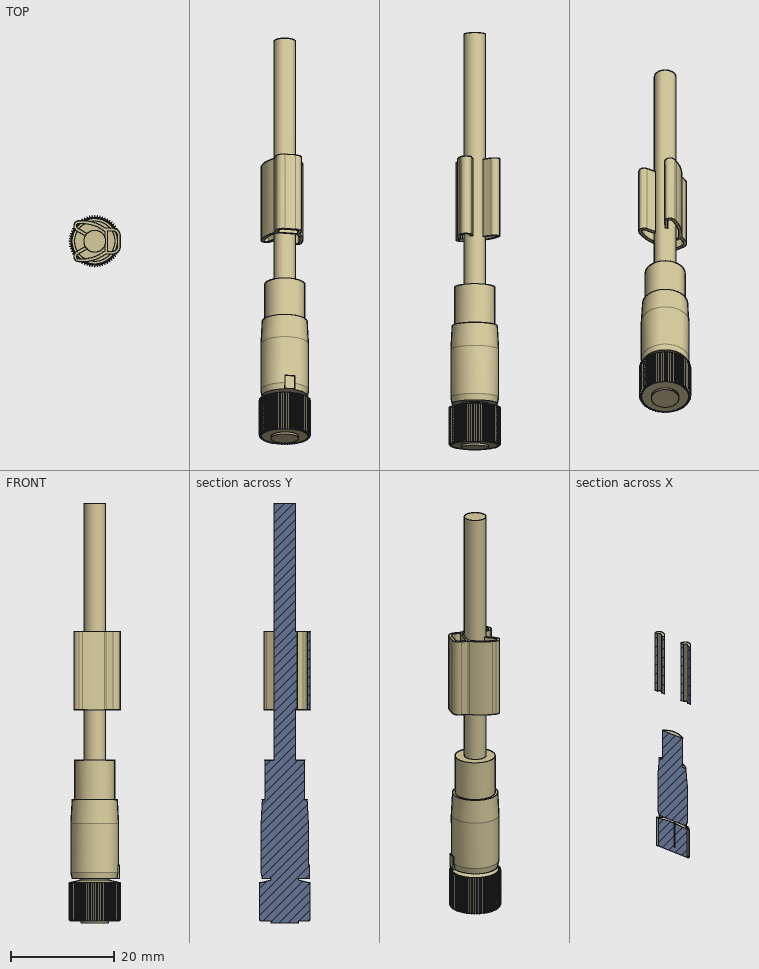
import cadquery as cq
import math

TOTAL_LENGTH = 81.4

CABLE_RADIUS = 2.1
SLEEVE_RADIUS = 3.9
SLEEVE_TOP = 31.6
SHOULDER_RADIUS = 4.4
SHOULDER_TOP = 23.9
BODY_RADIUS = 4.6
BODY_TOP = 19.3
BODY_TAPER_START = 9.85
BODY_BOTTOM_RADIUS = 4.4
BODY_BOTTOM = 8.6
CORE_RADIUS = 2.7

NUT_RADIUS = 5.0
NUT_BOTTOM = 0.4
NUT_TOP = 8.4
NUT_CONE_HEIGHT = 0.6
NUT_BOTTOM_CHAMFER = 0.25
TOOTH_COUNT = 60
TOOTH_DEPTH = 0.4
TOOTH_BASE_SHARE = 0.4

KEY_OUTER_X = 4.8
KEY_WIDTH = 1.95
KEY_TOP = 11.3

CLIP_BOTTOM = 41.35
CLIP_TOP = 56.6
CLIP_HALF_WIDTH = 4.0
CLIP_WALL = 0.6
BACK_RADIUS = 7.3
BACK_CENTRE_X = -2.4
BACK_CENTRE_Y = CLIP_HALF_WIDTH - BACK_RADIUS
LOBE_RADIUS = 1.05
LOBE_LEFT_X = -4.1
HOOK_ANGLE = 30
HOOK_END_X = -1.6
TAB_RIGHT_X = 5.0
TAB_HALF_WIDTH = 2.5
TAB_CORNER_RADIUS = 1.5
TAB_WALL = 0.6
WEB_LEFT_X = 2.0
WEB_THICKNESS = 0.4
TAB_BLEND_RADIUS = 0.6


def make_body():
    """Cable, sleeve, tapered shoulder, body and core as one turned solid."""
    profile = [
        (0, 0),
        (CORE_RADIUS, 0),
        (CORE_RADIUS, BODY_BOTTOM),
        (BODY_BOTTOM_RADIUS, BODY_BOTTOM),
        (BODY_RADIUS, BODY_TAPER_START),
        (BODY_RADIUS, BODY_TOP),
        (SHOULDER_RADIUS, SHOULDER_TOP),
        (SLEEVE_RADIUS, SHOULDER_TOP),
        (SLEEVE_RADIUS, SLEEVE_TOP),
        (CABLE_RADIUS, SLEEVE_TOP),
        (CABLE_RADIUS, TOTAL_LENGTH),
        (0, TOTAL_LENGTH),
    ]
    return cq.Workplane("XZ").polyline(profile).close().revolve(360, (0, 0, 0), (0, 1, 0))


def make_nut():
    """Nut with pointed knurl teeth, a shallow conical top and a chamfered lower edge."""
    pitch = 2 * math.pi / TOOTH_COUNT
    half_base = TOOTH_BASE_SHARE * pitch / 2
    root_radius = NUT_RADIUS - TOOTH_DEPTH
    points = []
    for i in range(TOOTH_COUNT):
        tip = i * pitch
        for radius, angle in (
            (root_radius, tip - half_base),
            (NUT_RADIUS, tip),
            (root_radius, tip + half_base),
        ):
            points.append((radius * math.cos(angle), radius * math.sin(angle)))
    knurl = cq.Workplane("XY").workplane(offset=NUT_BOTTOM).polyline(points).close()
    knurl = knurl.extrude(NUT_TOP - NUT_BOTTOM)

    envelope_profile = [
        (0, NUT_BOTTOM),
        (NUT_RADIUS - NUT_BOTTOM_CHAMFER, NUT_BOTTOM),
        (NUT_RADIUS, NUT_BOTTOM + NUT_BOTTOM_CHAMFER),
        (NUT_RADIUS, NUT_TOP - NUT_CONE_HEIGHT),
        (CORE_RADIUS, NUT_TOP),
        (0, NUT_TOP),
    ]
    envelope = cq.Workplane("XZ").polyline(envelope_profile).close()
    envelope = envelope.revolve(360, (0, 0, 0), (0, 1, 0))
    return knurl.intersect(envelope)


def make_key():
    """Small raised mark at the lower end of the body."""
    return cq.Workplane("XY").box(
        KEY_OUTER_X - CORE_RADIUS, KEY_WIDTH, KEY_TOP - BODY_BOTTOM, centered=(False, True, False)
    ).translate((CORE_RADIUS, 0, BODY_BOTTOM))


def clip_shell_outline():
    """Outer outline of the clip: two hooked lobes on the -X side and a curved back on +X."""
    lobe_x = LOBE_LEFT_X + LOBE_RADIUS
    lobe_y = CLIP_HALF_WIDTH - LOBE_RADIUS

    def on_lobe(degrees):
        angle = math.radians(degrees)
        return (lobe_x + LOBE_RADIUS * math.cos(angle), lobe_y + LOBE_RADIUS * math.sin(angle))

    hook_tangent_angle = 270 - HOOK_ANGLE
    hook_start = on_lobe(hook_tangent_angle)
    lobe_middle = on_lobe((90 + hook_tangent_angle) / 2)
    hook_drop = (HOOK_END_X - hook_start[0]) * math.tan(math.radians(HOOK_ANGLE))
    hook_end_y = hook_start[1] - hook_drop
    back_x = BACK_CENTRE_X + math.sqrt(BACK_RADIUS**2 - BACK_CENTRE_Y**2)

    return (
        cq.Workplane("XY")
        .workplane(offset=CLIP_BOTTOM)
        .moveTo(HOOK_END_X, hook_end_y)
        .lineTo(*hook_start)
        .threePointArc(lobe_middle, (lobe_x, CLIP_HALF_WIDTH))
        .lineTo(BACK_CENTRE_X, CLIP_HALF_WIDTH)
        .radiusArc((back_x, 0), BACK_RADIUS)
        .radiusArc((BACK_CENTRE_X, -CLIP_HALF_WIDTH), BACK_RADIUS)
        .lineTo(lobe_x, -CLIP_HALF_WIDTH)
        .threePointArc((lobe_middle[0], -lobe_middle[1]), (hook_start[0], -hook_start[1]))
        .lineTo(HOOK_END_X, -hook_end_y)
        .close()
    )


def clip_block(left_x, right_x, half_width):
    """Upright block over the height of the clip."""
    return cq.Workplane("XY").box(
        right_x - left_x, 2 * half_width, CLIP_TOP - CLIP_BOTTOM, centered=(False, True, False)
    ).translate((left_x, 0, CLIP_BOTTOM))


def make_clip():
    """Hooked spring clip with a hollow label tab on its back."""
    height = CLIP_TOP - CLIP_BOTTOM
    shell = clip_shell_outline().extrude(height)
    inside = clip_shell_outline().offset2D(-CLIP_WALL).extrude(height)

    tab = clip_block(WEB_LEFT_X - TAB_WALL, TAB_RIGHT_X, TAB_HALF_WIDTH)
    tab = tab.edges("|Z and >X").fillet(TAB_CORNER_RADIUS)
    web_right_x = WEB_LEFT_X + WEB_THICKNESS
    window = clip_block(web_right_x, TAB_RIGHT_X - TAB_WALL, TAB_HALF_WIDTH - TAB_WALL)
    window = window.edges("|Z and >X").fillet(TAB_CORNER_RADIUS - TAB_WALL)

    joint_x = BACK_CENTRE_X + math.sqrt(BACK_RADIUS**2 - (TAB_HALF_WIDTH - BACK_CENTRE_Y) ** 2)
    hull = shell.union(tab)
    for side in (-1, 1):
        joint = (joint_x, side * TAB_HALF_WIDTH, CLIP_BOTTOM + height / 2)
        hull = hull.edges(cq.selectors.NearestToPointSelector(joint)).fillet(TAB_BLEND_RADIUS)

    web = clip_block(WEB_LEFT_X, web_right_x, TAB_HALF_WIDTH - TAB_WALL)
    return hull.cut(inside).cut(window).union(web)


result = make_body().union(make_nut()).union(make_key()).union(make_clip())